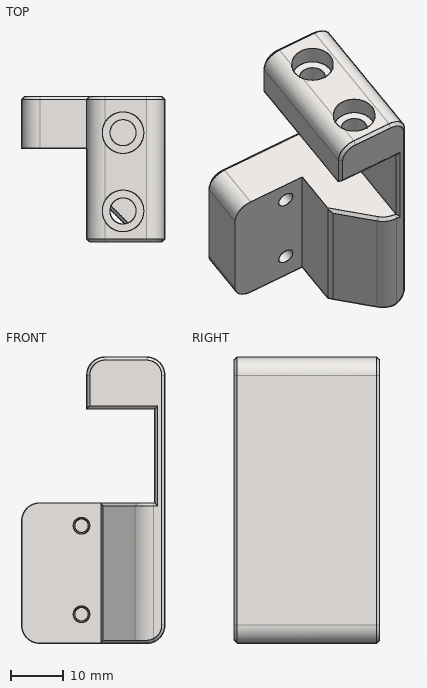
import cadquery as cq

width = 27.5
depth = 28.0
height = 55.0

head_width = 15.0
head_height = 10.0
wall_thickness = 2.0
base_height = 27.0
corner_radius = 3.5
edge_chamfer = 0.6

ear_thickness = 10.0
arm_width = 12.25
bevel_leg = 8.05
bevel_blend_radius = 5.0

head_hole_diameter = 5.0
counterbore_diameter = 8.0
counterbore_depth = 4.0
head_hole_x = 19.45
head_hole_pitch = 15.0
rear_head_hole_inset = 7.0

ear_hole_mouth_diameter = 3.2
ear_hole_end_diameter = 2.6
ear_hole_depth = 8.0
ear_hole_x = 11.5
ear_hole_pitch = 17.0
lower_ear_hole_z = 5.6

head_left = width - head_width
head_bottom = height - head_height
wall_inner = width - wall_thickness
arm_left = width - arm_width
bevel_front = arm_left + bevel_leg
ear_front = depth - ear_thickness


def make_blank():
    """C profile extruded along Y, with its long outer corners rounded."""
    outline = [
        (0, 0),
        (width, 0),
        (width, height),
        (head_left, height),
        (head_left, head_bottom),
        (wall_inner, head_bottom),
        (wall_inner, base_height),
        (0, base_height),
    ]
    blank = cq.Workplane("XZ").polyline(outline).close().extrude(-depth)
    rounded_corners = [(0, 0), (width, 0), (width, height), (head_left, height), (0, base_height)]
    for x, z in rounded_corners:
        blank = blank.edges(cq.selectors.NearestToPointSelector((x, depth / 2, z))).fillet(corner_radius)
    return blank


def make_base_clearance():
    """Space in front of the ear and of the bevelled base."""
    return (
        cq.Workplane("XY")
        .moveTo(0, 0)
        .lineTo(bevel_front, 0)
        .lineTo(arm_left, bevel_leg)
        .lineTo(arm_left, ear_front)
        .lineTo(0, ear_front)
        .close()
        .extrude(base_height)
    )


body = make_blank().cut(make_base_clearance())

bevel_front_edge = cq.selectors.NearestToPointSelector((bevel_front, 0, base_height / 2))
body = body.edges(bevel_front_edge).fillet(bevel_blend_radius)

bevel_inner_edge = cq.selectors.NearestToPointSelector((arm_left, bevel_leg, base_height / 2))
body = body.faces(">Y").edges().chamfer(edge_chamfer)
front_edges = body.faces("<Y").edges()
body = front_edges.add(body.edges(bevel_inner_edge)).chamfer(edge_chamfer)

rear_head_hole_y = depth - rear_head_hole_inset
for y in (rear_head_hole_y, rear_head_hole_y - head_hole_pitch):
    bore = (
        cq.Workplane("XY", origin=(head_hole_x, y, head_bottom))
        .circle(head_hole_diameter / 2)
        .extrude(head_height)
    )
    counterbore = (
        cq.Workplane("XY", origin=(head_hole_x, y, height))
        .circle(counterbore_diameter / 2)
        .extrude(-counterbore_depth)
    )
    body = body.cut(bore).cut(counterbore)

for z in (lower_ear_hole_z, lower_ear_hole_z + ear_hole_pitch):
    taper = cq.Solid.makeCone(
        ear_hole_mouth_diameter / 2,
        ear_hole_end_diameter / 2,
        ear_hole_depth,
        cq.Vector(ear_hole_x, ear_front, z),
        cq.Vector(0, 1, 0),
    )
    body = body.cut(cq.Workplane(taper))

result = body